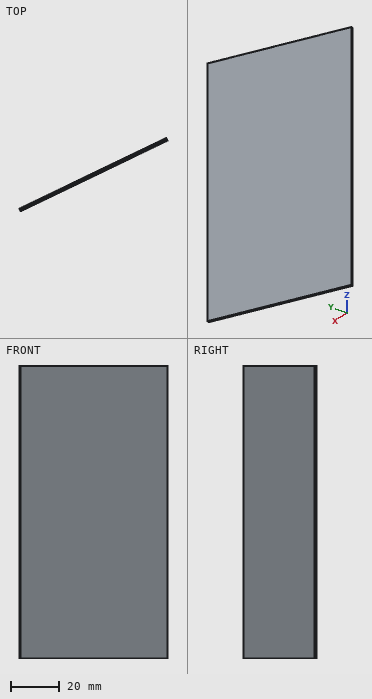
import cadquery as cq

SHEET_WIDTH = 66.89
SHEET_HEIGHT = 120.0
SHEET_THICKNESS = 0.6
SHEET_COUNT = 2

PANEL_ANGLE = 25.69
PANEL_THICKNESS = SHEET_COUNT * SHEET_THICKNESS


def panel_sheet(layer):
    """One flat upright sheet; layer 0 is the front of the stack, whose middle lies on the Z axis."""
    front_face = layer * SHEET_THICKNESS - PANEL_THICKNESS / 2
    flat_sheet = (
        cq.Workplane("XY")
        .box(SHEET_WIDTH, SHEET_THICKNESS, SHEET_HEIGHT, centered=(True, False, True))
        .translate((0, front_face, 0))
    )
    return flat_sheet.rotate((0, 0, 0), (0, 0, 1), PANEL_ANGLE)


sheets = [panel_sheet(layer) for layer in range(SHEET_COUNT)]

result = cq.Compound.makeCompound([sheet.val() for sheet in sheets])